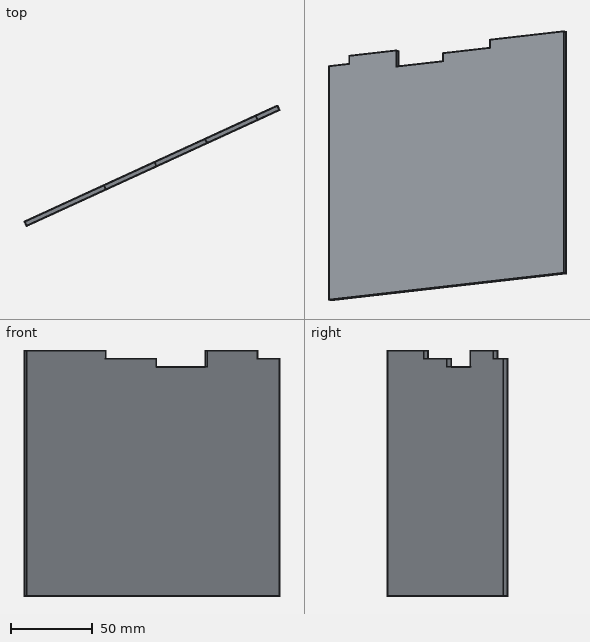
import cadquery as cq

length = 170.0
height = 150.0
thickness = 3.0
turn_angle = 24.634

step_pitch = length / 5
step_depth = 5.0
end_run = 14.667

last_step = length - end_run
notch_right = last_step - step_pitch
notch_left = notch_right - step_pitch
first_step = notch_left - step_pitch

shoulder_height = height - step_depth
notch_height = height - 2 * step_depth


def stepped_plate():
    """Plate standing on the XY plane, its length along X and its front face on Y = 0."""
    outline = [
        (0, 0),
        (length, 0),
        (length, shoulder_height),
        (last_step, shoulder_height),
        (last_step, height),
        (notch_right, height),
        (notch_right, notch_height),
        (notch_left, notch_height),
        (notch_left, shoulder_height),
        (first_step, shoulder_height),
        (first_step, height),
        (0, height),
    ]
    return cq.Workplane("XZ").polyline(outline).close().extrude(-thickness)


result = stepped_plate().rotate((0, 0, 0), (0, 0, 1), turn_angle)